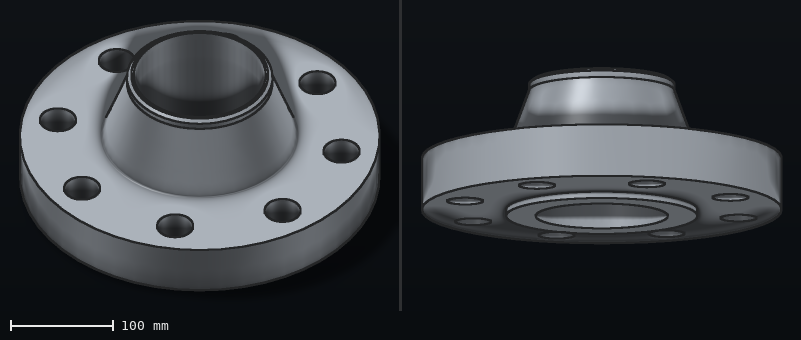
import cadquery as cq
import math


flange_diameter = 349.25
flange_thickness = 50.8
raised_face_diameter = 185.7
raised_face_height = 6.35

total_height = 133.35
hub_base_diameter = 190.5
pipe_diameter = 141.3
bore_diameter = 128.2
pipe_stub_length = 6.4
hub_fillet_radius = 3.0

bevel_angle = 37.5
bevel_land = 2.4

bolt_count = 8
bolt_circle_diameter = 279.4
bolt_hole_diameter = 34.925

bore_radius = bore_diameter / 2
pipe_radius = pipe_diameter / 2
land_radius = bore_radius + bevel_land
bevel_height = (pipe_radius - land_radius) * math.tan(math.radians(bevel_angle))
flange_top = raised_face_height + flange_thickness
stub_top = total_height - bevel_height
cone_top = stub_top - pipe_stub_length


def flange_plate():
    """Round plate with the smaller raised face beneath it."""
    raised_face = cq.Workplane("XY").circle(raised_face_diameter / 2).extrude(raised_face_height)
    plate = (
        cq.Workplane("XY")
        .workplane(offset=raised_face_height)
        .circle(flange_diameter / 2)
        .extrude(flange_thickness)
    )
    return plate.union(raised_face)


def neck():
    """Tapered hub ending in a short straight stub with a weld bevel."""
    profile = (
        cq.Workplane("XZ")
        .moveTo(0, flange_top)
        .lineTo(hub_base_diameter / 2, flange_top)
        .lineTo(pipe_radius, cone_top)
        .lineTo(pipe_radius, stub_top)
        .lineTo(land_radius, total_height)
        .lineTo(0, total_height)
        .close()
    )
    return profile.revolve(360, (0, 0, 0), (0, 1, 0))


def fillet_hub_base(body):
    """Round the inside corner between the hub and the plate."""
    plate_top_edges = body.faces("+Z").faces("<Z").edges()
    return plate_top_edges.edges(cq.selectors.RadiusNthSelector(0)).fillet(hub_fillet_radius)


def bore():
    """Straight passage through the whole part."""
    return cq.Workplane("XY").circle(bore_radius).extrude(total_height)


def bolt_holes():
    """Ring of equally spaced holes, the first one on the +X axis."""
    return (
        cq.Workplane("XY")
        .polarArray(bolt_circle_diameter / 2, 0, 360, bolt_count)
        .circle(bolt_hole_diameter / 2)
        .extrude(flange_top)
    )


body = fillet_hub_base(flange_plate().union(neck()))
result = body.cut(bore()).cut(bolt_holes())